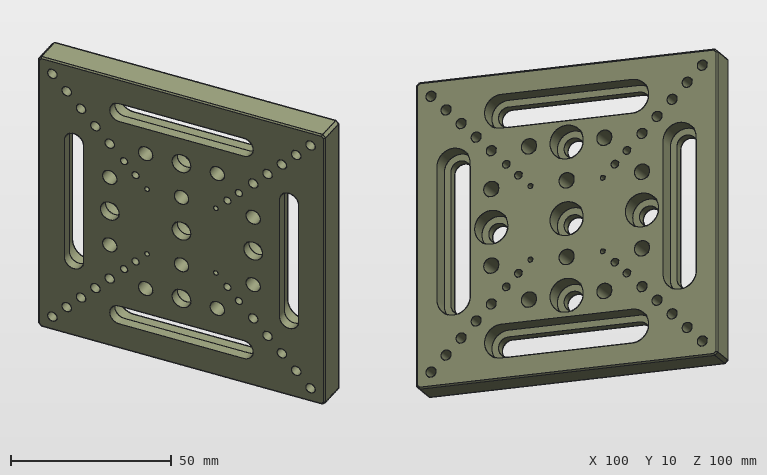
import cadquery as cq

side = 100
thickness = 10
rear_y = thickness / 2
edge_chamfer = 0.5
corner_chamfer = 1

recess_width = 11
recess_depth = 6.5

slot_width = 6.6
slot_length = 50
slot_offset = 37.5
slot_recess_length = slot_length + recess_width - slot_width

grid_pitch = 12.5
grid_reach = 2 * grid_pitch
large_hole = 6.5
medium_hole = 5

diagonal_holes = [
    (3.3, [25, 30, 35, 40, 45]),
    (2.5, [16, 20]),
    (1.6, [12]),
]


def plate():
    """Square plate with bevelled corners and bevelled front and rear rims."""
    body = cq.Workplane("XY").box(side, thickness, side)
    body = body.edges("|Y").chamfer(corner_chamfer)
    return body.faces("<Y or >Y").edges().chamfer(edge_chamfer)


def rear_plane():
    """Sketch plane on the rear face, with local axes X and Z, extruding forward."""
    return cq.Workplane("XZ", origin=(0, rear_y, 0))


def cylinders(points, diameter, depth):
    """Cutters for round holes that start at the rear face."""
    return rear_plane().pushPoints(points).circle(diameter / 2).extrude(depth)


def slot_bars(length, width, depth):
    """Cutters for the four side slots, starting at the rear face."""
    level_points = [(0, -slot_offset), (0, slot_offset)]
    upright_points = [(-slot_offset, 0), (slot_offset, 0)]
    level = rear_plane().pushPoints(level_points).slot2D(length, width).extrude(depth)
    upright = rear_plane().pushPoints(upright_points).slot2D(length, width, 90).extrude(depth)
    return level.union(upright)


def mirrored(x, z):
    """The point (x, z) repeated in all four quadrants."""
    return [(x, z), (-x, z), (-x, -z), (x, -z)]


result = plate()

result = result.cut(slot_bars(slot_length, slot_width, thickness))
result = result.cut(slot_bars(slot_recess_length, recess_width, recess_depth))

large_points = [(0, 0), (-grid_reach, 0), (grid_reach, 0), (0, -grid_reach), (0, grid_reach)]
result = result.cut(cylinders(large_points, large_hole, thickness))
result = result.cut(cylinders(large_points, recess_width, recess_depth))

medium_points = [(0, -grid_pitch), (0, grid_pitch)]
medium_points += mirrored(grid_reach, grid_pitch)
medium_points += mirrored(grid_pitch, grid_reach)
result = result.cut(cylinders(medium_points, medium_hole, thickness))

for diameter, distances in diagonal_holes:
    for distance in distances:
        points = mirrored(distance, distance)
        result = result.cut(cylinders(points, diameter, thickness))